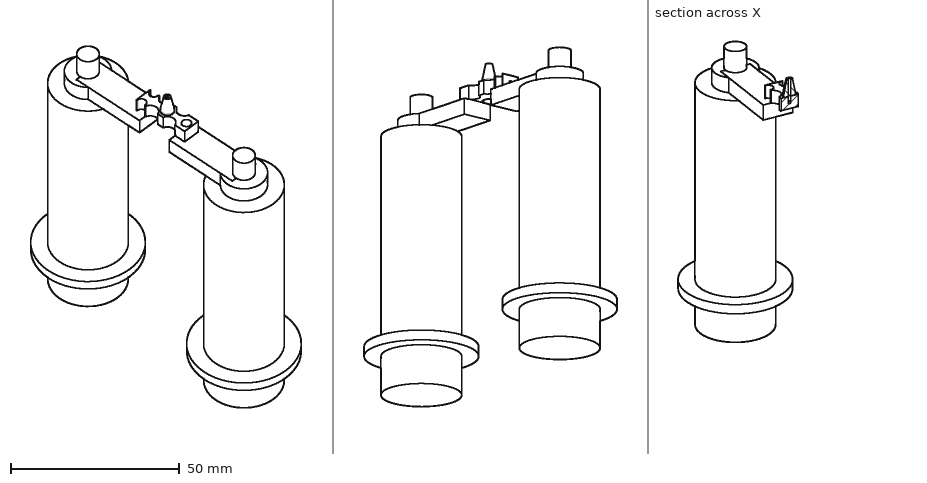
import cadquery as cq

flange_diameter = 34.0
column_diameter = 24.0
column_height = 80.0
flange_bottom = 12.0
flange_thickness = 3.0
column_x = (97.5 - flange_diameter) / 2

disc_diameter = 14.0
disc_thickness = 5.0
rod_diameter = 6.7
rod_projection = 7.0
bar_width = 10.0
bar_gap = 12.1
bar_length = column_x - bar_gap / 2
bar_top = column_height + disc_thickness

link_x = 0.1
link_y = 0.5
link_length = 19.7
link_width = 5.9
link_thickness = 4.3
neck_width = 2.3
hub_flat = 2.2
scallop_width = 4.8
claw_plate = 0.3
claw_slot_width = 3.1
eye_hole_diameter = 3.0
eye_hole_inset = 2.0
passage_diameter = 0.8

overall_height = 95.0
collar_diameter = 4.2
collar_height = 0.7
tip_diameter = 2.1
nozzle_bottom = bar_top + link_thickness


def cylinder(diameter, bottom, height, x=0):
    """Upright cylinder with its axis at the given X."""
    return cq.Workplane("XY", origin=(x, 0, bottom)).circle(diameter / 2).extrude(height)


def make_column(side):
    """Insulator column with its mounting flange."""
    x = side * column_x
    shaft = cylinder(column_diameter, 0, column_height, x)
    return shaft.union(cylinder(flange_diameter, flange_bottom, flange_thickness, x))


def make_rod(side):
    """Rod standing on the column and rising through the bar and disc."""
    return cylinder(rod_diameter, column_height, disc_thickness + rod_projection, side * column_x)


def bar_blank(side):
    """Rectangular bar reaching inward from the column axis."""
    center_x = side * (column_x - bar_length / 2)
    return (
        cq.Workplane("XY", origin=(center_x, 0, column_height))
        .rect(bar_length, bar_width)
        .extrude(disc_thickness)
    )


def make_bar(side):
    """Bar with its end cut round the rod."""
    return bar_blank(side).cut(make_rod(side))


def make_disc(side):
    """Terminal disc with a recess for the bar and a hole for the rod."""
    disc = cylinder(disc_diameter, column_height, disc_thickness, side * column_x)
    return disc.cut(bar_blank(side)).cut(make_rod(side))


def make_passage():
    """Bore from the claw end to the hub centre, then up through the nozzle tip."""
    bore_z = bar_top + link_thickness / 2
    level_bore = (
        cq.Workplane("YZ", origin=(link_x - link_length / 2, link_y, bore_z))
        .circle(passage_diameter / 2)
        .extrude(link_length / 2)
    )
    upright_bore = (
        cq.Workplane("XY", origin=(link_x, link_y, bore_z))
        .circle(passage_diameter / 2)
        .extrude(overall_height - bore_z)
    )
    return level_bore.union(upright_bore)


def make_link():
    """Link with a claw at -X, a scalloped hub in the middle and an eye at +X."""
    half_length = link_length / 2
    half_width = link_width / 2
    half_neck = neck_width / 2
    half_hub = hub_flat / 2
    scallop_middle = half_hub + scallop_width / 2
    scallop_end = half_hub + scallop_width
    slot_start = -half_length + claw_plate
    slot_end = slot_start + claw_slot_width
    slot_radius = claw_slot_width / 2
    slot_shoulder = half_neck + slot_radius

    link = (
        cq.Workplane("XY", origin=(link_x, link_y, bar_top))
        .moveTo(-half_length, 0)
        .lineTo(-half_length, half_width)
        .lineTo(slot_start, half_width)
        .lineTo(slot_start, slot_shoulder)
        .threePointArc((slot_start + slot_radius, half_neck), (slot_end, slot_shoulder))
        .lineTo(slot_end, half_width)
        .lineTo(-scallop_end, half_width)
        .threePointArc((-scallop_middle, half_neck), (-half_hub, half_width))
        .lineTo(half_hub, half_width)
        .threePointArc((scallop_middle, half_neck), (scallop_end, half_width))
        .lineTo(half_length, half_width)
        .lineTo(half_length, 0)
        .mirrorX()
        .extrude(link_thickness)
    )

    eye_hole = (
        cq.Workplane("XY", origin=(link_x + half_length - eye_hole_inset, link_y, bar_top))
        .circle(eye_hole_diameter / 2)
        .extrude(link_thickness)
    )
    return link.cut(eye_hole).cut(make_passage())


def make_nozzle():
    """Tapered nozzle on a short round collar."""
    nozzle_height = overall_height - nozzle_bottom
    nozzle = (
        cq.Workplane("XZ", origin=(link_x, link_y, nozzle_bottom))
        .lineTo(collar_diameter / 2, 0)
        .lineTo(collar_diameter / 2, collar_height)
        .lineTo(tip_diameter / 2, nozzle_height)
        .lineTo(0, nozzle_height)
        .close()
        .revolve(360, (0, 0, 0), (0, 1, 0))
    )
    return nozzle.cut(make_passage())


bodies = [make_link().val(), make_nozzle().val()]
for side in (-1, 1):
    for make_body in (make_column, make_disc, make_bar, make_rod):
        bodies.append(make_body(side).val())

result = cq.Compound.makeCompound(bodies)